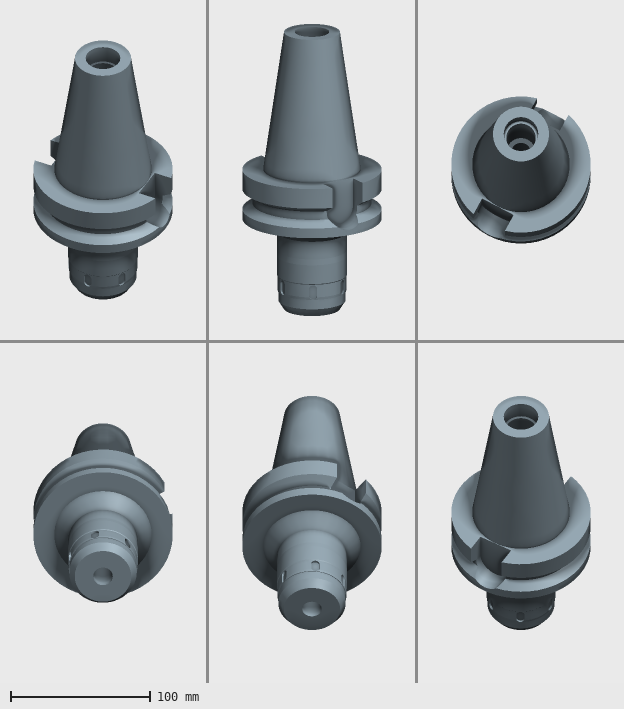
import cadquery as cq

total_height = 206.8

gauge_height = 105.0
gauge_radius = 35.0
taper_ratio = 7 / 24
taper_top_radius = gauge_radius - (total_height - gauge_height) * taper_ratio / 2

flange_radius = 50.0
flange_bottom = 67.2
flange_top = 104.0
groove_radius = 42.8
groove_mouth_bottom = 74.5
groove_mouth_top = 89.3
groove_side_height = 4.3

neck_radius = 25.0
neck_top = 57.0
sleeve_radius = 25.2
sleeve_top = 39.5
sleeve_taper_height = 4.3

nut_radius = 24.8
nut_top = 24.8
sleeve_chamfer_height = 0.6
nut_taper_radius = 24.6
nut_taper_top = 15.3
nut_bottom = 13.5
nose_radius = 24.2
nose_tip_radius = 20.3
nose_chamfer_height = 6.2

wrench_slot_count = 6
wrench_slot_width = 5.8
wrench_slot_bottom = 13.6
wrench_slot_top = 24.5
wrench_slot_floor = 23.2

drive_slot_width = 25.6
drive_slot_bottom = 71.1
drive_slot_floor = 35.2

entry_bore_radius = 12.5
entry_bore_depth = 13.2
stud_bore_radius = 10.5
stud_bore_depth = 62.0
through_bore_radius = 7.0


def make_body():
    """Revolve the outer profile, listed as radius and height from the nose up."""
    outline = [
        (0, 0),
        (nose_tip_radius, 0),
        (nose_radius, nose_chamfer_height),
        (nose_radius, nut_bottom),
        (nut_taper_radius, nut_bottom),
        (nut_radius, nut_taper_top),
        (nut_radius, nut_top),
        (sleeve_radius, nut_top + sleeve_chamfer_height),
        (sleeve_radius, sleeve_top),
        (neck_radius, sleeve_top + sleeve_taper_height),
        (neck_radius, neck_top),
        (gauge_radius, flange_bottom),
        (flange_radius, flange_bottom),
        (flange_radius, groove_mouth_bottom),
        (groove_radius, groove_mouth_bottom + groove_side_height),
        (groove_radius, groove_mouth_top - groove_side_height),
        (flange_radius, groove_mouth_top),
        (flange_radius, flange_top),
        (gauge_radius, flange_top),
        (gauge_radius, gauge_height),
        (taper_top_radius, total_height),
        (0, total_height),
    ]
    return cq.Workplane("XZ").polyline(outline).close().revolve(360, (0, 0), (0, 1))


def make_drive_slot():
    """Cutter for the +X drive slot: open at the top, rounded at the bottom."""
    half_width = drive_slot_width / 2
    arc_center = drive_slot_bottom + half_width
    return (
        cq.Workplane("YZ", origin=(drive_slot_floor, 0, 0))
        .moveTo(-half_width, flange_top)
        .lineTo(-half_width, arc_center)
        .threePointArc((0, drive_slot_bottom), (half_width, arc_center))
        .lineTo(half_width, flange_top)
        .close()
        .extrude(flange_radius)
    )


def make_wrench_slot():
    """Cutter for the flat-floored, round-ended wrench slot on the -Y side."""
    middle = (wrench_slot_bottom + wrench_slot_top) / 2
    length = wrench_slot_top - wrench_slot_bottom
    return (
        cq.Workplane("XZ", origin=(0, -wrench_slot_floor, 0))
        .center(0, middle)
        .slot2D(length, wrench_slot_width, 90)
        .extrude(nut_radius)
    )


def make_bore(radius, depth):
    """Cutter for a round bore entering from the top of the taper."""
    return cq.Workplane("XY", origin=(0, 0, total_height)).circle(radius).extrude(-depth)


result = make_body()

for angle in (0, 180):
    result = result.cut(make_drive_slot().rotate((0, 0, 0), (0, 0, 1), angle))

for index in range(wrench_slot_count):
    angle = index * 360 / wrench_slot_count
    result = result.cut(make_wrench_slot().rotate((0, 0, 0), (0, 0, 1), angle))

result = result.cut(make_bore(entry_bore_radius, entry_bore_depth))
result = result.cut(make_bore(stud_bore_radius, stud_bore_depth))
result = result.cut(make_bore(through_bore_radius, total_height))